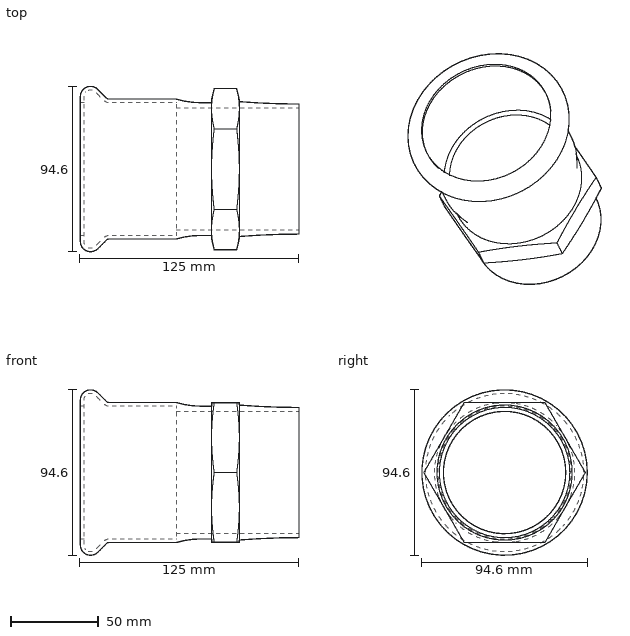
import cadquery as cq
import math

total_length = 125.0

bead_outer_radius = 94.6 / 2
bead_round = 5.9
flank_angle = math.radians(45)
flank_blend = 2.1
barrel_radius = 80.1 / 2
barrel_end = 54.9

neck_radius = 76.0 / 2
wall = barrel_radius - neck_radius
neck_start = 68.9
bore_radius = 34.9
hex_start = 75.0
hex_end = 90.9
hex_across_flats = 79.9
hex_chamfer_length = 1.5
thread_root_radius = 38.6
thread_end_radius = 37.2

bead_center = (bead_round, bead_outer_radius - bead_round)
blend_center_radius = barrel_radius + flank_blend
blend_center_x = (
    bead_center[0]
    + (bead_round + flank_blend) / math.sin(flank_angle)
    - (blend_center_radius - bead_center[1]) / math.tan(flank_angle)
)
blend_center = (blend_center_x, blend_center_radius)


def on_circle(center, radius, angle):
    return (center[0] + radius * math.cos(angle), center[1] + radius * math.sin(angle))


def flare_midpoint(start, end):
    """Point halfway round an arc from start that runs parallel to the axis at end."""
    length = end[0] - start[0]
    drop = start[1] - end[1]
    radius = (length**2 + drop**2) / (2 * drop)
    half_sweep = math.asin(length / radius) / 2
    return (
        end[0] - radius * math.sin(half_sweep),
        end[1] + radius * (1 - math.cos(half_sweep)),
    )


def add_socket(sketch, bead_radius, blend_radius):
    """Draw bead, flank and blend from the mouth to the start of the barrel."""
    bottom_angle = 3 * math.pi / 2
    blend_start_angle = math.pi + flank_angle
    bead_top = on_circle(bead_center, bead_radius, math.pi / 2)
    bead_finish = on_circle(bead_center, bead_radius, flank_angle)
    blend_start = on_circle(blend_center, blend_radius, blend_start_angle)
    blend_finish = on_circle(blend_center, blend_radius, bottom_angle)
    blend_middle = on_circle(blend_center, blend_radius, (bottom_angle + blend_start_angle) / 2)
    return (
        sketch.threePointArc(bead_top, bead_finish)
        .lineTo(*blend_start)
        .threePointArc(blend_middle, blend_finish)
    )


def revolve_about_x(profile):
    return profile.close().revolve(360, (0, 0, 0), (1, 0, 0))


def make_outer_body():
    barrel_corner = (barrel_end, barrel_radius)
    neck_corner = (neck_start, neck_radius)
    thread_root = (hex_end, thread_root_radius)
    thread_end = (total_length, thread_end_radius)
    hex_middle = (hex_start + hex_end) / 2
    profile = cq.Workplane("XY").lineTo(0, bead_center[1])
    profile = (
        add_socket(profile, bead_round, flank_blend)
        .lineTo(*barrel_corner)
        .threePointArc(flare_midpoint(barrel_corner, neck_corner), neck_corner)
        .lineTo(hex_middle, neck_radius)
        .lineTo(hex_middle, thread_root_radius)
        .lineTo(*thread_root)
        .threePointArc(flare_midpoint(thread_root, thread_end), thread_end)
        .lineTo(total_length, 0)
    )
    return revolve_about_x(profile)


def make_bore():
    """Seal groove inside the bead, socket bore with a flat stop, and narrower through bore."""
    socket_bore_radius = barrel_radius - wall
    socket_corner = (barrel_end, socket_bore_radius)
    profile = (
        cq.Workplane("XY")
        .lineTo(0, socket_bore_radius)
        .lineTo(wall, socket_bore_radius)
        .lineTo(wall, bead_center[1])
    )
    profile = (
        add_socket(profile, bead_round - wall, flank_blend + wall)
        .lineTo(*socket_corner)
        .lineTo(barrel_end, bore_radius)
        .lineTo(total_length, bore_radius)
        .lineTo(total_length, 0)
    )
    return revolve_about_x(profile)


def make_hexagon():
    """Wrench hexagon with flats facing +Z and -Z and conically trimmed corners."""
    corner_radius = hex_across_flats / math.sqrt(3)
    flat_radius = hex_across_flats / 2
    prism = (
        cq.Workplane("YZ", origin=(hex_start, 0, 0))
        .polygon(6, 2 * corner_radius)
        .extrude(hex_end - hex_start)
    )
    trim = revolve_about_x(
        cq.Workplane("XY")
        .moveTo(hex_start, 0)
        .lineTo(hex_start, flat_radius)
        .lineTo(hex_start + hex_chamfer_length, corner_radius)
        .lineTo(hex_end - hex_chamfer_length, corner_radius)
        .lineTo(hex_end, flat_radius)
        .lineTo(hex_end, 0)
    )
    return prism.intersect(trim)


result = make_outer_body().union(make_hexagon()).cut(make_bore())